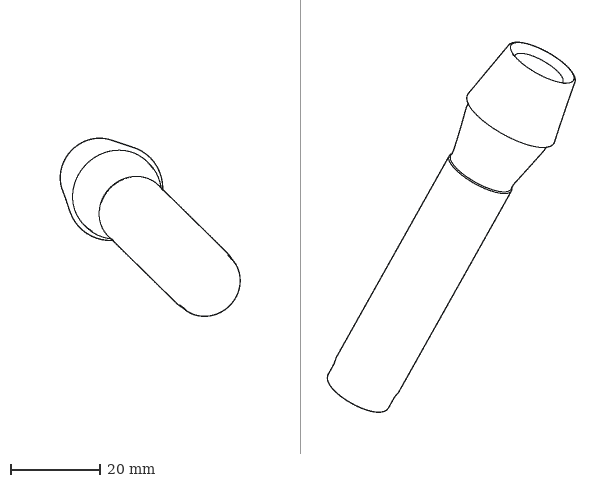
import cadquery as cq
import math

TOTAL_LENGTH = 90.0

HEAD_LENGTH = 15.5
HEAD_RADIUS = 22.2 / 2
HEAD_BACK_ROUND = 0.3
FACE_CORNER_RADIUS = 8.5

REFLECTOR_RADIUS = 16.0 / 2
REFLECTOR_DEPTH = 1.6
LENS_RADIUS = 6.1
LENS_THICKNESS = 0.9
LENS_BACK = REFLECTOR_DEPTH + LENS_THICKNESS

COLLAR_RADIUS = 20.0 / 2
COLLAR_END = 17.7
GROOVE_RADIUS = 15.5 / 2
NECK_END = 28.3
NECK_BLEND = 2.25

GRIP_RADIUS = 16.0 / 2
GRIP_START = 29.7
GRIP_CHAMFER = 0.3
GRIP_END = 84.6
TAIL_RADIUS = GROOVE_RADIUS
TAIL_START = 86.0
TAIL_ROUND = 1.0


def revolve_about_x(profile):
    """Close a half profile and turn it into a solid of revolution."""
    return profile.close().revolve(360, (0, 0, 0), (1, 0, 0))


def circle_edge_at(x, radius):
    """Selector for the circular edge with the given axial place and radius."""
    margin = 0.01
    reach = radius + margin
    return cq.selectors.BoxSelector(
        (x - margin, -reach, -reach),
        (x + margin, reach, reach),
        boundingbox=True,
    )


def make_housing():
    """Head, neck, grip and tail in one solid, open at the front for the lens."""
    head_peak = HEAD_LENGTH - HEAD_BACK_ROUND
    cone_angle = math.atan2(HEAD_RADIUS - FACE_CORNER_RADIUS, head_peak)
    tangent_length = FACE_CORNER_RADIUS - REFLECTOR_RADIUS
    rim_round = tangent_length / math.tan(math.pi / 4 - cone_angle / 2)
    cone_start = (
        tangent_length * math.cos(cone_angle),
        FACE_CORNER_RADIUS + tangent_length * math.sin(cone_angle),
    )
    housing = revolve_about_x(
        cq.Workplane("XY")
        .moveTo(LENS_BACK, 0)
        .lineTo(LENS_BACK, LENS_RADIUS)
        .lineTo(REFLECTOR_DEPTH, LENS_RADIUS)
        .lineTo(0, REFLECTOR_RADIUS)
        .radiusArc(cone_start, rim_round)
        .lineTo(head_peak, HEAD_RADIUS)
        .radiusArc((HEAD_LENGTH, HEAD_RADIUS - HEAD_BACK_ROUND), HEAD_BACK_ROUND)
        .lineTo(HEAD_LENGTH, COLLAR_RADIUS)
        .lineTo(COLLAR_END, COLLAR_RADIUS)
        .lineTo(NECK_END, GROOVE_RADIUS)
        .lineTo(GRIP_START, GROOVE_RADIUS)
        .lineTo(GRIP_START + GRIP_CHAMFER, GRIP_RADIUS)
        .lineTo(GRIP_END, GRIP_RADIUS)
        .lineTo(TAIL_START, TAIL_RADIUS)
        .lineTo(TOTAL_LENGTH, TAIL_RADIUS)
        .lineTo(TOTAL_LENGTH, 0)
    )
    for x, radius in ((COLLAR_END, COLLAR_RADIUS), (NECK_END, GROOVE_RADIUS)):
        housing = housing.edges(circle_edge_at(x, radius)).fillet(NECK_BLEND)
    return housing.faces(">X").edges().fillet(TAIL_ROUND)


def make_lens():
    """Flat round lens filling the seat at the bottom of the reflector."""
    return cq.Workplane("YZ", origin=(REFLECTOR_DEPTH, 0, 0)).circle(LENS_RADIUS).extrude(LENS_THICKNESS)


housing = make_housing()
lens = make_lens()

result = cq.Compound.makeCompound([housing.val(), lens.val()])